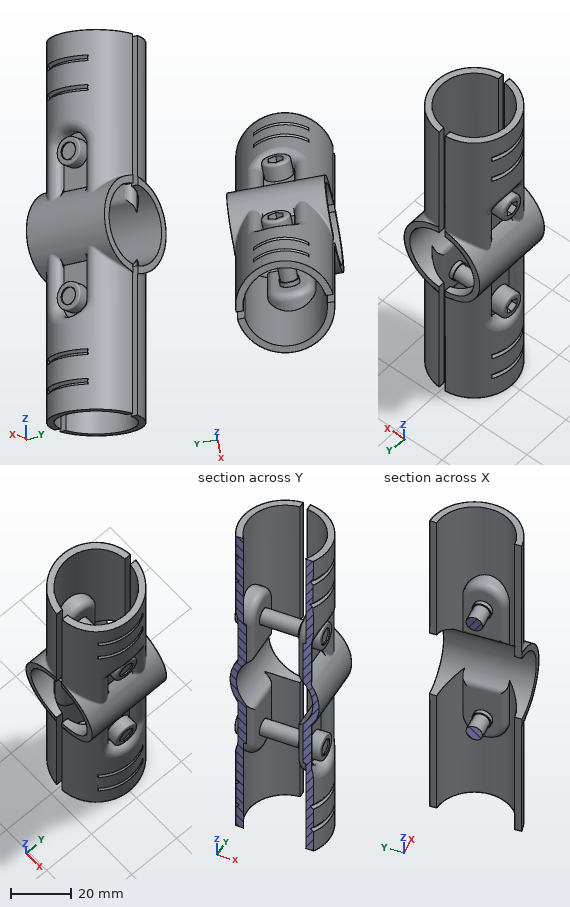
import cadquery as cq
import math


HEIGHT = 131.0
CROSS_LENGTH = 33.1
OUTER_RADIUS = 16.5
BORE_RADIUS = 14.0
WALL = OUTER_RADIUS - BORE_RADIUS
SPLIT_GAP = 2.6
JUNCTION_FILLET = 0.8

SCREW_Z = 25.0
POCKET_ARC_Z = 26.9
POCKET_HALF_WIDTH = 5.3
POCKET_RIM_FILLET = 3.0
FLOOR_X = 10.55
BOSS_FACE_X = FLOOR_X - WALL
BOSS_HALF_WIDTH = 8.1
BOSS_FILLET = 2.5

GROOVE_HEIGHTS = (55.8, 45.6)
GROOVE_WIDTH = 2.0
GROOVE_DEPTH = 0.98
GROOVE_Y_MIN = -10.5
GROOVE_Y_MAX = 7.9

HEAD_RADIUS = 5.0
HEAD_FILLET = 0.9
HEX_WIDTH = 5.0
HEX_DEPTH = 3.0
THREAD_RADIUS = 3.0
SLEEVE_RADIUS = 3.4
SLEEVE_END_X = 6.4
NUT_FACE_X = 14.9
NUT_FILLET = 0.5
SCREW_END_X = 14.4

SPLIT_X = SPLIT_GAP / 2
RIM_Y = POCKET_HALF_WIDTH + POCKET_RIM_FILLET
RIM_X = math.sqrt((OUTER_RADIUS - POCKET_RIM_FILLET) ** 2 - RIM_Y ** 2)
JUNCTION_TOP = 19.6


def box(x, y, z):
    """Box between the (low, high) pairs of the three axes."""
    size = (x[1] - x[0], y[1] - y[0], z[1] - z[0])
    return cq.Workplane("XY", origin=(x[0], y[0], z[0])).box(*size, centered=False)


def vertical_cylinder(radius):
    return cq.Workplane("XY").circle(radius).extrude(HEIGHT / 2, both=True)


def cross_cylinder(radius):
    return cq.Workplane("XZ").circle(radius).extrude(CROSS_LENGTH / 2, both=True)


def slot_prism(half_width, x_start, x_end):
    """Round-ended prism along X that spans both screws of a shell."""
    length = 2 * (POCKET_ARC_Z + half_width)
    slot = cq.Workplane("YZ", origin=(x_start, 0, 0)).slot2D(length, 2 * half_width, 90)
    return slot.extrude(x_end - x_start)


def point_on_circle(center, radius, angle):
    return (center[0] + radius * math.cos(angle), center[1] + radius * math.sin(angle))


def junction_space():
    """Block that one junction corner fills."""
    return box((SPLIT_X, HEIGHT), (POCKET_HALF_WIDTH, HEIGHT), (0, JUNCTION_TOP))


def junction_corner():
    """Corner at +Y, +Z from the pocket wall outward, where the two tubes blend into each other."""
    rim_center = (RIM_X, RIM_Y)
    rim_angle = math.atan2(RIM_Y, RIM_X)
    split_angle = math.acos(SPLIT_X / OUTER_RADIUS)
    wall_angle = -math.pi / 2
    upright = (
        cq.Workplane("XY")
        .moveTo(SPLIT_X, POCKET_HALF_WIDTH)
        .lineTo(*point_on_circle((0, 0), OUTER_RADIUS, split_angle))
        .threePointArc(
            point_on_circle((0, 0), OUTER_RADIUS, (split_angle + rim_angle) / 2),
            point_on_circle((0, 0), OUTER_RADIUS, rim_angle),
        )
        .threePointArc(
            point_on_circle(rim_center, POCKET_RIM_FILLET, (rim_angle + wall_angle) / 2),
            point_on_circle(rim_center, POCKET_RIM_FILLET, wall_angle),
        )
        .close()
        .extrude(JUNCTION_TOP)
    )
    quarter = box((SPLIT_X, HEIGHT), (0, HEIGHT), (0, HEIGHT))
    corner = upright.union(cross_cylinder(OUTER_RADIUS).intersect(quarter))
    outer_seams = corner.edges("%ELLIPSE or %BSPLINE")
    near_wall = cq.selectors.NearestToPointSelector((RIM_X / 2, POCKET_HALF_WIDTH, OUTER_RADIUS))
    wall_seam = corner.edges("%CIRCLE").edges(near_wall)
    corner = outer_seams.add(wall_seam).fillet(JUNCTION_FILLET)
    return corner.intersect(junction_space())


def at_four_corners(corner):
    """Copies of a +Y, +Z corner at all four junctions of a shell."""
    pair = (corner, corner.mirror("XZ"))
    return (*pair, *(copy.mirror("XY") for copy in pair))


def outer_body():
    """Outer shape of the +X shell before hollowing."""
    half_space = box((SPLIT_X, HEIGHT), (-HEIGHT, HEIGHT), (-HEIGHT, HEIGHT))
    body = vertical_cylinder(OUTER_RADIUS).intersect(half_space)
    body = body.cut(slot_prism(POCKET_HALF_WIDTH, FLOOR_X, HEIGHT))
    rim_edges = cq.selectors.BoxSelector(
        (FLOOR_X + 0.3, -RIM_Y, -HEIGHT / 3), (OUTER_RADIUS + 1.3, RIM_Y, HEIGHT / 3)
    )
    body = body.edges(rim_edges).fillet(POCKET_RIM_FILLET)
    body = body.union(cross_cylinder(OUTER_RADIUS).intersect(half_space))
    for space in at_four_corners(junction_space()):
        body = body.cut(space)
    for corner in at_four_corners(junction_corner()):
        body = body.union(corner, clean=False)
    return body


def hollow(body):
    """Cut both bores, leaving rounded bosses behind the pocket floors."""
    boss = slot_prism(BOSS_HALF_WIDTH, BOSS_FACE_X, HEIGHT)
    body = body.cut(vertical_cylinder(BORE_RADIUS).cut(boss), clean=False)
    body = body.cut(cross_cylinder(BORE_RADIUS), clean=False).clean()
    boss_faces = cq.selectors.BoxSelector(
        (BOSS_FACE_X - 0.1, -BORE_RADIUS, -HEIGHT / 3), (BOSS_FACE_X + 0.1, BORE_RADIUS, HEIGHT / 3)
    )
    return body.faces(boss_faces).edges().fillet(BOSS_FILLET)


def groove(z):
    """V groove around part of the outer face of the +X shell."""
    reach = 2 * GROOVE_WIDTH
    flank_slope = GROOVE_WIDTH / 2 / GROOVE_DEPTH
    tip = OUTER_RADIUS - GROOVE_DEPTH
    profile = (
        cq.Workplane("XZ")
        .moveTo(tip, z)
        .lineTo(tip + reach, z + reach * flank_slope)
        .lineTo(tip + reach, z - reach * flank_slope)
        .close()
    )
    ring = profile.revolve(360, (0, 0, 0), (0, 1, 0))
    return ring.intersect(box((0, HEIGHT), (GROOVE_Y_MIN, GROOVE_Y_MAX), (-HEIGHT, HEIGHT)))


def rod(radius, x_start, x_end, z):
    return cq.Workplane("YZ", origin=(x_start, 0, z)).circle(radius).extrude(x_end - x_start)


def make_shell(hole_radius):
    """Shell on the +X side with screw holes of the given radius."""
    shell = hollow(outer_body())
    for side in (1, -1):
        shell = shell.cut(rod(hole_radius, 0, OUTER_RADIUS, side * SCREW_Z))
        for z in GROOVE_HEIGHTS:
            shell = shell.cut(groove(side * z))
    return shell


def make_screw():
    """Socket head screw along +X, on the X axis."""
    head = rod(HEAD_RADIUS, -OUTER_RADIUS, -FLOOR_X, 0).faces("<X").edges().fillet(HEAD_FILLET)
    corner_diameter = HEX_WIDTH / math.cos(math.pi / 6)
    socket = (
        cq.Workplane("YZ", origin=(-OUTER_RADIUS, 0, 0))
        .polygon(6, corner_diameter)
        .extrude(HEX_DEPTH)
        .rotate((0, 0, 0), (1, 0, 0), 30)
    )
    shank = rod(THREAD_RADIUS, -FLOOR_X, SCREW_END_X, 0)
    return head.cut(socket).union(shank)


def make_nut():
    """Sleeve nut on the X axis: a flange on the pocket floor and a sleeve through the shell."""
    flange = rod(HEAD_RADIUS, FLOOR_X, NUT_FACE_X, 0).faces(">X").edges().fillet(NUT_FILLET)
    sleeve = rod(SLEEVE_RADIUS, SLEEVE_END_X, FLOOR_X, 0)
    return flange.union(sleeve).cut(rod(THREAD_RADIUS, 0, OUTER_RADIUS, 0))


nut_shell = make_shell(SLEEVE_RADIUS)
head_shell = make_shell(THREAD_RADIUS).mirror("YZ")
screws = []
nuts = []
for side in (1, -1):
    place = (0, 0, side * SCREW_Z)
    screws.append(make_screw().translate(place).val())
    nuts.append(make_nut().translate(place).val())

result = cq.Compound.makeCompound([nut_shell.val(), head_shell.val(), *screws, *nuts])